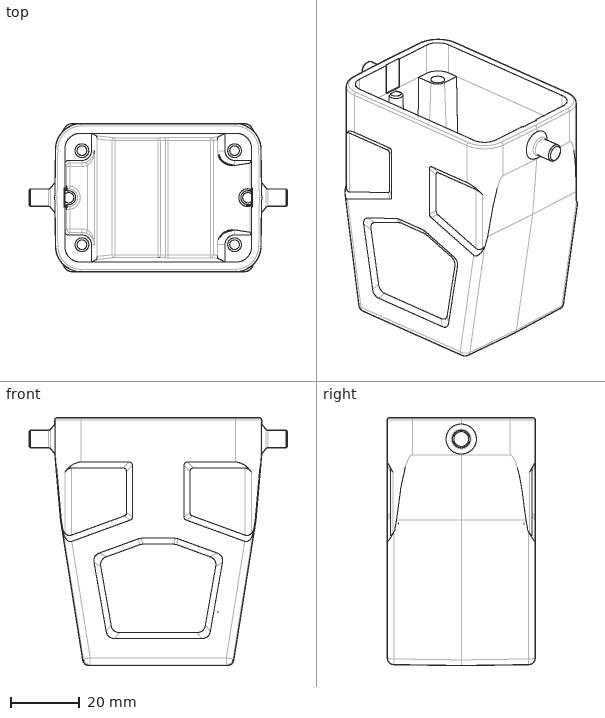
import cadquery as cq
import math


def tan_deg(angle):
    return math.tan(math.radians(angle))


height = 72.0
half_depth = 21.5
rim_half_width = 30.05
parting_draft = 0.8

knee_z = 61.2
shoulder_z = 42.3
upper_lean = 5.0
lower_lean = 9.0
shoulder_half_width = rim_half_width - (knee_z - shoulder_z) * tan_deg(upper_lean)
base_half_width = shoulder_half_width - shoulder_z * tan_deg(lower_lean)
overshoot_z = height + 2.0
overshoot_half_width = rim_half_width + (overshoot_z - knee_z) * tan_deg(upper_lean)

rim_corner_radius = 7.5
lower_edge_radius = 2.0
rim_edge_radius = 0.7

recess_depth = 1.0
recess_wall_angle = 60.0
window_corner_radius = 2.0
window_edge_radius = 3.0
recess_slope = 20.0

window_inner_x = 7.5
window_top_z = 59.1
window_bottom_z = 42.5
window_reach_x = 40.0
window_bottom_outer_z = window_bottom_z - (window_reach_x - window_inner_x) * tan_deg(recess_slope)
corner_ledge_depth = 6.0

panel_top_z = 37.0
panel_top_half_width = 5.3
panel_shoulder_x = 19.0
panel_shoulder_z = panel_top_z - (panel_shoulder_x - panel_top_half_width) * tan_deg(recess_slope)
panel_bottom_z = 7.9
panel_side_lean = 10.0
panel_bottom_half_width = panel_shoulder_x - (panel_shoulder_z - panel_bottom_z) * tan_deg(panel_side_lean)
panel_corner_radius = 5.0

peg_tip_x = 37.5
peg_root_x = 28.5
peg_z = 65.8
peg_radius = 2.55
peg_collar_radius = 4.4
peg_collar_x = 30.0
peg_collar_end_x = 31.5
peg_root_radius = 0.8
peg_tip_chamfer = 0.4

mouth_half_width = 27.1
mouth_half_depth = 18.7
mouth_corner_radius = 4.5
seat_z = 62.7
cavity_draft = 1.3
left_floor_z = 4.0
right_floor_z = 6.5
left_floor_x = -13.3
right_floor_x = 15.8
step_left_x = 0.4
step_right_x = 2.4
left_wall_z = 25.0
shelf_z = 45.0
end_wall_x = 26.6
shelf_edge_radius = 2.0
floor_corner_radius = 0.9
shelf_corner_radius = 1.0
wall_corner_radius = 0.8

post_inner_x = 19.4
post_inner_y = 10.8
post_draft = 2.5
post_corner_radius = 2.8
post_hole_x = 22.15
post_hole_y = 13.65
post_bore_diameter = 4.0
post_bore_depth = 5.0
post_core_diameter = 2.8
post_core_depth = 12.0
guide_x = 26.0
guide_top_z = 62.0
guide_top_radius = 2.0
guide_base_radius = 2.6
guide_root_radius = 0.8
guide_chamfer = 0.5
groove_half_width = 2.75
groove_depth = 0.3

shelf_edge_x = -post_inner_x + (seat_z - shelf_z) * tan_deg(post_draft)
left_wall_x = -post_inner_x + (seat_z - left_wall_z) * tan_deg(post_draft)


def box_between(x_range, y_range, z_range):
    size = [high - low for low, high in (x_range, y_range, z_range)]
    corner = (x_range[0], y_range[0], z_range[0])
    return cq.Workplane("XY").box(*size, centered=False).translate(corner)


def nearest(x, y, z):
    return cq.selectors.NearestToPointSelector((x, y, z))


def both_faces(feature):
    """A feature of the -Y face together with its mirror image on the +Y face."""
    return feature.union(feature.mirror("XZ"))


def outer_wedge():
    """Tapering block, rounded along its long edges and around its closed end; overshoots the rim."""
    outline = [
        (-base_half_width, 0),
        (base_half_width, 0),
        (shoulder_half_width, shoulder_z),
        (overshoot_half_width, overshoot_z),
        (-overshoot_half_width, overshoot_z),
        (-shoulder_half_width, shoulder_z),
    ]
    front_half = cq.Workplane("XZ").polyline(outline).close().extrude(half_depth, taper=parting_draft)
    base_side_edges = front_half.faces("<Z").edges("not |X")
    front_half = front_half.faces("<Y").edges().add(base_side_edges).fillet(lower_edge_radius)
    return both_faces(front_half)


def rounded_rim_block():
    """Upright block with the rounded corners of the open end; its end faces meet in a ridge at Y = 0."""
    edge_half_width = rim_half_width - half_depth * tan_deg(parting_draft)
    plan = [
        (rim_half_width, 0),
        (edge_half_width, half_depth),
        (-edge_half_width, half_depth),
        (-rim_half_width, 0),
        (-edge_half_width, -half_depth),
        (edge_half_width, -half_depth),
    ]
    block = cq.Workplane("XY").polyline(plan).close().extrude(height)
    block = block.edges("|Z").edges("<Y or >Y").fillet(rim_corner_radius)
    return block.faces(">Z").edges().fillet(rim_edge_radius)


def corner_ledges():
    """Lower zone where the body keeps its full corners, ending in sloping ledges."""
    zone = [
        (-window_reach_x, -height),
        (window_reach_x, -height),
        (window_reach_x, window_bottom_outer_z),
        (window_inner_x, window_bottom_z),
        (-window_inner_x, window_bottom_z),
        (-window_reach_x, window_bottom_outer_z),
    ]
    ledge = (
        cq.Workplane("XZ", origin=(0, -half_depth, 0))
        .polyline(zone)
        .close()
        .extrude(-corner_ledge_depth, taper=-recess_wall_angle)
    )
    return both_faces(ledge)


def recess(outline, corner_radius):
    """Cutter for a shallow recess in the -Y face with walls sloping out from its floor.

    The outline is the opening on the face; the floor is smaller by the run of the walls.
    """
    opening = cq.Workplane("XZ", origin=(0, -half_depth, 0)).polyline(outline).close()
    cutter = opening.extrude(-recess_depth, taper=recess_wall_angle)
    return cutter.edges("not #Y").fillet(corner_radius)


def window_recess():
    """Recesses on both sides of the broad face's middle, running out past the body's corners."""
    outline = [
        (window_inner_x, window_bottom_z),
        (window_reach_x, window_bottom_outer_z),
        (window_reach_x, window_top_z),
        (window_inner_x, window_top_z),
    ]
    right_window = recess(outline, window_corner_radius)
    return right_window.union(right_window.mirror("YZ"))


def panel_recess():
    """Hexagonal recess in the lower part of the broad face."""
    outline = [
        (-panel_bottom_half_width, panel_bottom_z),
        (panel_bottom_half_width, panel_bottom_z),
        (panel_shoulder_x, panel_shoulder_z),
        (panel_top_half_width, panel_top_z),
        (-panel_top_half_width, panel_top_z),
        (-panel_shoulder_x, panel_shoulder_z),
    ]
    return recess(outline, panel_corner_radius)


def outer_body():
    body = outer_wedge().intersect(rounded_rim_block().union(corner_ledges()))
    body = body.cut(both_faces(window_recess())).cut(both_faces(panel_recess()))

    floor_y = half_depth - recess_depth
    corner_axis_x = rim_half_width - rim_corner_radius
    floor_edge_x = corner_axis_x + math.sqrt(rim_corner_radius**2 - (rim_corner_radius - recess_depth) ** 2)
    window_middle_z = (window_top_z + window_bottom_z) / 2
    for side_x in (-1, 1):
        for side_y in (-1, 1):
            floor_edge = nearest(side_x * floor_edge_x, side_y * floor_y, window_middle_z)
            body = body.edges("|Z").edges(floor_edge).fillet(window_edge_radius)
    return body


def locking_peg():
    """Round peg on the +X end face with a conical collar at its root."""
    profile = [
        (peg_root_x, 0),
        (peg_tip_x, 0),
        (peg_tip_x, peg_radius - peg_tip_chamfer),
        (peg_tip_x - peg_tip_chamfer, peg_radius),
        (peg_collar_end_x, peg_radius),
        (peg_collar_x, peg_collar_radius),
        (peg_root_x, peg_collar_radius),
    ]
    peg = cq.Workplane("XY").polyline(profile).close().revolve(360, (0, 0, 0), (1, 0, 0))
    peg = peg.edges(nearest(peg_collar_end_x, 0, 0)).fillet(peg_root_radius)
    return peg.translate((0, 0, peg_z))


def cavity_mouth():
    mouth = box_between(
        (-mouth_half_width, mouth_half_width),
        (-mouth_half_depth, mouth_half_depth),
        (seat_z, height),
    )
    return mouth.edges("|Z").fillet(mouth_corner_radius)


def cavity_chamber():
    """Space below the seat: stepped floor, sloping right end, shelf at the left end."""
    profile = [
        (left_floor_x, left_floor_z),
        (step_left_x, left_floor_z),
        (step_right_x, right_floor_z),
        (right_floor_x, right_floor_z),
        (end_wall_x, shelf_z),
        (mouth_half_width, seat_z),
        (-mouth_half_width, seat_z),
        (-end_wall_x, shelf_z),
        (shelf_edge_x, shelf_z),
        (left_wall_x, left_wall_z),
    ]
    chamber = cq.Workplane("XZ").polyline(profile).close().extrude(mouth_half_depth, both=True)
    for corner_x, corner_z, radius in (
        (left_floor_x, left_floor_z, floor_corner_radius),
        (step_left_x, left_floor_z, floor_corner_radius),
        (step_right_x, right_floor_z, floor_corner_radius),
        (right_floor_x, right_floor_z, floor_corner_radius),
        (shelf_edge_x, shelf_z, shelf_edge_radius),
        (-end_wall_x, shelf_z, shelf_corner_radius),
    ):
        chamber = chamber.edges(nearest(corner_x, 0, corner_z)).fillet(radius)

    floor_half_depth = mouth_half_depth - (seat_z - left_floor_z) * tan_deg(cavity_draft)
    cross_section = [
        (-floor_half_depth, left_floor_z),
        (floor_half_depth, left_floor_z),
        (mouth_half_depth, seat_z),
        (-mouth_half_depth, seat_z),
    ]
    drafted_walls = cq.Workplane("YZ").polyline(cross_section).close().extrude(mouth_half_width, both=True)
    chamber = chamber.intersect(drafted_walls)
    for side in (-1, 1):
        floor_edge = nearest(left_floor_x / 2, side * floor_half_depth, left_floor_z)
        chamber = chamber.edges(floor_edge).fillet(wall_corner_radius)
    return chamber


def four_corners(feature):
    """A feature of the +X +Y corner repeated in all four corners."""
    pair = feature.union(feature.mirror("YZ"))
    return pair.union(pair.mirror("XZ"))


def screw_post():
    """Post of the +X +Y corner with a rounded inner edge; it thickens toward the closed end."""
    top_outline = (
        cq.Workplane("XY", origin=(0, 0, seat_z))
        .moveTo(rim_half_width, post_inner_y)
        .lineTo(rim_half_width, half_depth)
        .lineTo(post_inner_x, half_depth)
        .lineTo(post_inner_x, post_inner_y + post_corner_radius)
        .radiusArc((post_inner_x + post_corner_radius, post_inner_y), -post_corner_radius)
        .close()
    )
    return top_outline.extrude(-seat_z, taper=-post_draft)


def screw_hole():
    """Stepped blind hole of the +X +Y post."""
    top = cq.Workplane("XY", origin=(post_hole_x, post_hole_y, seat_z))
    bore = top.circle(post_bore_diameter / 2).extrude(-post_bore_depth)
    return bore.union(top.circle(post_core_diameter / 2).extrude(-post_core_depth))


def guide_pin():
    """Tapered pin at the +X end of the cavity, merging into the end wall."""
    pin = (
        cq.Workplane("XY", origin=(guide_x, 0, shelf_z))
        .circle(guide_base_radius)
        .workplane(offset=guide_top_z - shelf_z)
        .circle(guide_top_radius)
        .loft()
    )
    return pin.faces(">Z").chamfer(guide_chamfer)


def wall_grooves():
    """Shallow upright groove in each end wall, above the guide pin."""
    groove = box_between(
        (0, mouth_half_width + groove_depth),
        (-groove_half_width, groove_half_width),
        (seat_z, height),
    )
    return groove.union(groove.mirror("YZ"))


def cavity():
    pin = guide_pin()
    pins = pin.union(pin.mirror("YZ"))
    chamber = cavity_chamber().cut(four_corners(screw_post()))

    shelf_end_y = post_inner_y - (seat_z - shelf_z) * tan_deg(post_draft)
    shelf_middle_x = (shelf_edge_x - end_wall_x) / 2
    for side in (-1, 1):
        shelf_end = nearest(shelf_middle_x, side * shelf_end_y, shelf_z)
        chamber = chamber.edges(shelf_end).fillet(shelf_corner_radius)

    chamber = chamber.cut(pins)
    left_pin_foot = nearest(-guide_x + guide_base_radius, 0, shelf_z)
    chamber = chamber.edges(left_pin_foot).fillet(guide_root_radius)
    return chamber.union(cavity_mouth()).union(wall_grooves()).union(four_corners(screw_hole()))


peg = locking_peg()
result = outer_body().union(peg).union(peg.mirror("YZ")).cut(cavity())